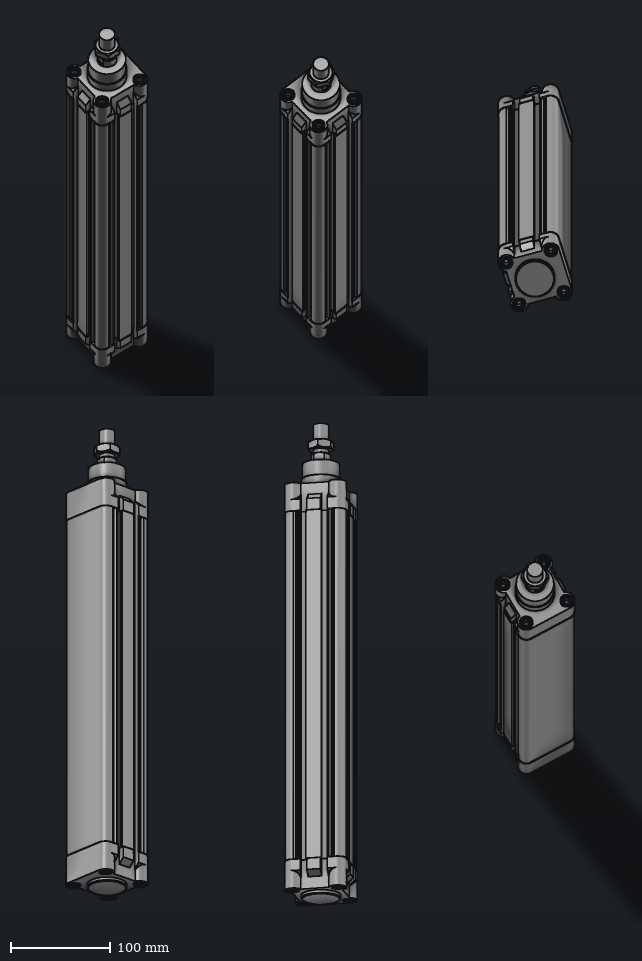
import cadquery as cq
import math

TOTAL_HEIGHT = 499.0
REAR_COVER_BOTTOM = 4.0
REAR_COVER_TOP = 34.5
FRONT_COVER_BOTTOM = 401.0
FRONT_COVER_TOP = 431.0
COLLAR_TOP = 441.5
NOSE_TOP = 457.5
FLATS_BOTTOM = 460.0
ROD_SHOULDER = 468.5
NUT_BOTTOM = 472.5
NUT_HEIGHT = 9.0

COVER_HALF = 32.0
PANEL_HALF = 26.0
POST_RADIUS = 9.0
POST_OFFSET = COVER_HALF - POST_RADIUS
SLOT_OUTER = 14.0
TAB_HALF = 7.0
RAMP_START = 12.0
RAMP_HEIGHT = COVER_HALF - PANEL_HALF

SCREW_OFFSET = 23.5
RECESS_DIAMETER = 13.0
HEAD_DIAMETER = 11.5
RECESS_DEPTH = 1.5
SCREW_BORES = [(8.0, 1.5), (6.5, 8.0)]
DRILL_POINT_ANGLE = 118.0

BARREL_HALF = 31.5
BARREL_CORNER_RADIUS = BARREL_HALF - POST_OFFSET
BARREL_FLOOR = 26.5
RIB_HALF = 8.0
RIB_UNDERCUT = 2.0
RIB_LIP = 2.5
GROOVE_CENTRE = 18.5
GROOVE_WIDTH = 1.5
GROOVE_DEPTH = 5.0
GROOVE_CHAMFER = 2.0

COLLAR_DIAMETER = 40.0
NOSE_DIAMETER = 38.0
REAR_COLLAR_CHAMFER = 1.0

ROD_DIAMETER = 20.0
ROD_ACROSS_FLATS = 17.0
THREAD_DIAMETER = 16.0
ROD_CHAMFER_HEIGHT = 1.5
NUT_ACROSS_FLATS = 24.0
NUT_CORNER_DIAMETER = NUT_ACROSS_FLATS / math.cos(math.radians(30))
NUT_FACE_DIAMETER = 23.0
NUT_CHAMFER_HEIGHT = 1.5

SLOTTED_SIDES = [-90, 0, 90]
CORNERS = [(x, y) for x in (-1, 1) for y in (-1, 1)]


def block(x_min, x_max, y_min, y_max, z_min, z_max):
    return (
        cq.Workplane("XY", origin=(0, 0, z_min))
        .center((x_min + x_max) / 2, (y_min + y_max) / 2)
        .rect(x_max - x_min, y_max - y_min)
        .extrude(z_max - z_min)
    )


def disc(diameter, z_min, z_max):
    return cq.Workplane("XY", origin=(0, 0, z_min)).circle(diameter / 2).extrude(z_max - z_min)


def on_slotted_sides(feature):
    """Copies a feature made on the -Y side to every slotted side."""
    copies = cq.Workplane("XY")
    for angle in SLOTTED_SIDES:
        copies = copies.add(feature.rotate((0, 0, 0), (0, 0, 1), angle))
    return copies.combine()


def screw_recess():
    """Ring around a screw head and the stepped, pointed bore in it, below z = 0."""
    recess = disc(RECESS_DIAMETER, -RECESS_DEPTH, 0).cut(disc(HEAD_DIAMETER, -RECESS_DEPTH, 0))
    for diameter, depth in SCREW_BORES:
        recess = recess.union(disc(diameter, -depth, 0))
    tip_diameter, tip_start = SCREW_BORES[-1]
    tip_height = tip_diameter / 2 / math.tan(math.radians(DRILL_POINT_ANGLE / 2))
    tip = cq.Solid.makeCone(
        tip_diameter / 2, 0, tip_height, pnt=cq.Vector(0, 0, -tip_start), dir=cq.Vector(0, 0, -1)
    )
    return recess.union(cq.Workplane(tip))


def ramped_block(x_min, x_max):
    """Block on the -Y panel that ends in a 45 degree ramp."""
    return (
        cq.Workplane("YZ", origin=(x_min, 0, 0))
        .moveTo(-COVER_HALF, 0)
        .lineTo(-COVER_HALF, RAMP_START)
        .lineTo(-PANEL_HALF, RAMP_START + RAMP_HEIGHT)
        .lineTo(-POST_OFFSET, RAMP_START + RAMP_HEIGHT)
        .lineTo(-POST_OFFSET, 0)
        .close()
        .extrude(x_max - x_min)
    )


def cover(height):
    """End cover standing on z = 0 against the barrel, with its outer face at z = height."""
    panel = block(-PANEL_HALF, PANEL_HALF, -PANEL_HALF, PANEL_HALF, 0, height)
    plain_side = block(-POST_OFFSET, POST_OFFSET, 0, COVER_HALF, 0, height)
    shape = panel.union(plain_side)
    for x, y in CORNERS:
        post = disc(2 * POST_RADIUS, 0, height)
        shape = shape.union(post.translate((x * POST_OFFSET, y * POST_OFFSET, 0)))

    for x_min, x_max in (
        (-TAB_HALF, TAB_HALF),
        (-POST_OFFSET, -SLOT_OUTER),
        (SLOT_OUTER, POST_OFFSET),
    ):
        shape = shape.union(on_slotted_sides(ramped_block(x_min, x_max)))

    for x, y in CORNERS:
        shape = shape.cut(screw_recess().translate((x * SCREW_OFFSET, y * SCREW_OFFSET, height)))
    return shape


def barrel():
    """Profiled section between the covers, with a rib in the middle of each slotted side."""
    z_min, z_max = REAR_COVER_TOP, FRONT_COVER_BOTTOM
    shape = block(-BARREL_HALF, BARREL_HALF, -BARREL_HALF, BARREL_HALF, z_min, z_max)
    shape = shape.edges("|Z").fillet(BARREL_CORNER_RADIUS)

    mouth_half = GROOVE_WIDTH / 2 + GROOVE_CHAMFER
    for side in (-1, 1):
        x_min, x_max = sorted((side * RIB_HALF, side * SLOT_OUTER))
        slot = block(x_min, x_max, -BARREL_HALF, -BARREL_FLOOR, z_min, z_max)
        x_min, x_max = sorted((side * (RIB_HALF - RIB_UNDERCUT), side * RIB_HALF))
        undercut = block(x_min, x_max, RIB_LIP - BARREL_HALF, -BARREL_FLOOR, z_min, z_max)
        groove = (
            cq.Workplane("XY", origin=(side * GROOVE_CENTRE, -BARREL_HALF, z_min))
            .moveTo(-mouth_half, 0)
            .lineTo(-GROOVE_WIDTH / 2, GROOVE_CHAMFER)
            .lineTo(-GROOVE_WIDTH / 2, GROOVE_DEPTH)
            .lineTo(GROOVE_WIDTH / 2, GROOVE_DEPTH)
            .lineTo(GROOVE_WIDTH / 2, GROOVE_CHAMFER)
            .lineTo(mouth_half, 0)
            .close()
            .extrude(z_max - z_min)
        )
        shape = shape.cut(on_slotted_sides(slot.union(undercut))).cut(on_slotted_sides(groove))
    return shape


def make_housing():
    front_cover = cover(FRONT_COVER_TOP - FRONT_COVER_BOTTOM).translate((0, 0, FRONT_COVER_BOTTOM))
    rear_cover = (
        cover(REAR_COVER_TOP - REAR_COVER_BOTTOM).mirror("XY").translate((0, 0, REAR_COVER_TOP))
    )
    rear_collar = disc(COLLAR_DIAMETER, 0, REAR_COVER_BOTTOM).faces("<Z").chamfer(REAR_COLLAR_CHAMFER)
    collar = disc(COLLAR_DIAMETER, FRONT_COVER_TOP, COLLAR_TOP)
    nose = disc(NOSE_DIAMETER, COLLAR_TOP, NOSE_TOP)
    rod_bore = disc(ROD_DIAMETER, FRONT_COVER_BOTTOM, NOSE_TOP)
    housing = barrel().union(front_cover).union(rear_cover)
    return housing.union(rear_collar).union(collar).union(nose).cut(rod_bore)


def make_piston_rod():
    """Rod seated in the front cover, with two wrench flats below its threaded end."""
    shoulder_width = (ROD_DIAMETER - THREAD_DIAMETER) / 2
    shaft = disc(ROD_DIAMETER, FRONT_COVER_BOTTOM, ROD_SHOULDER)
    shaft = shaft.faces(">Z").chamfer(ROD_CHAMFER_HEIGHT, shoulder_width)
    reach = ROD_DIAMETER / 2
    for y_min, y_max in ((-reach, -ROD_ACROSS_FLATS / 2), (ROD_ACROSS_FLATS / 2, reach)):
        shaft = shaft.cut(block(-reach, reach, y_min, y_max, FLATS_BOTTOM, ROD_SHOULDER))
    return shaft.union(disc(THREAD_DIAMETER, ROD_SHOULDER, TOTAL_HEIGHT))


def make_nut():
    """Hexagon nut with corners on the Y axis and both faces chamfered at the corners."""
    hexagon = (
        cq.Workplane("XY", origin=(0, 0, NUT_BOTTOM))
        .transformed(rotate=(0, 0, 90))
        .polygon(6, NUT_CORNER_DIAMETER)
        .extrude(NUT_HEIGHT)
    )
    corner_chamfer = (NUT_CORNER_DIAMETER - NUT_FACE_DIAMETER) / 2
    envelope = (
        disc(NUT_CORNER_DIAMETER, NUT_BOTTOM, NUT_BOTTOM + NUT_HEIGHT)
        .faces("<Z or >Z")
        .chamfer(NUT_CHAMFER_HEIGHT, corner_chamfer)
    )
    thread_hole = disc(THREAD_DIAMETER, NUT_BOTTOM, NUT_BOTTOM + NUT_HEIGHT)
    return hexagon.intersect(envelope).cut(thread_hole)


housing = make_housing()
piston_rod = make_piston_rod()
nut = make_nut()

result = cq.Compound.makeCompound([housing.val(), piston_rod.val(), nut.val()])